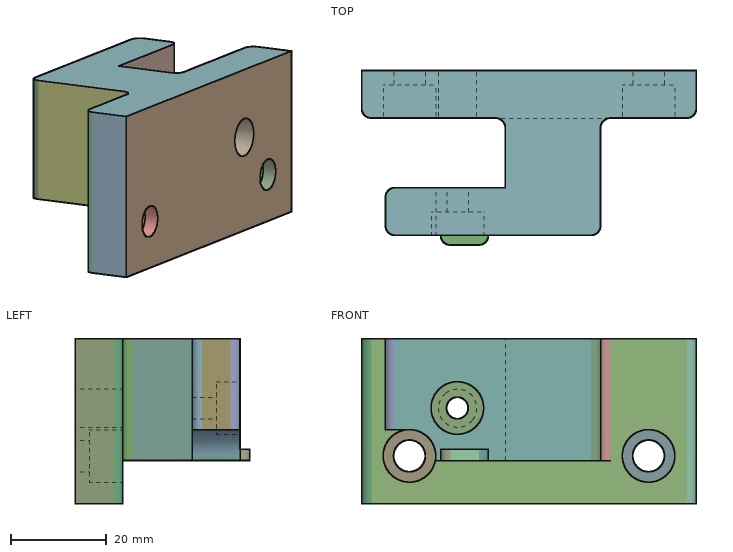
import cadquery as cq

length = 70.0
height = 34.5
wall = 10.0
gap = 14.5
corner_radius = 2.0

stem_left = 30.0
stem_right = 50.0
arm_left = 5.0
arm_bottom = 9.0

tab_left = 16.5
tab_length = 10.0
tab_height = 2.4
tab_depth = corner_radius

mount_inset = 10.0
mount_diameter = 6.6
counterbore_diameter = 11.0
plate_counterbore_depth = 7.0
arm_hole_x = 2 * mount_inset
arm_hole_z = 2 * mount_inset
arm_hole_diameter = 4.5
arm_counterbore_depth = 5.0
plate_clearance_diameter = 8.0

plate_front = -wall
arm_back = plate_front - gap
arm_front = arm_back - wall
tab_front = arm_front - tab_depth


def block(x_min, x_max, y_min, y_max, z_min, z_max):
    """Box between the given limits."""
    size = (x_max - x_min, y_max - y_min, z_max - z_min)
    return cq.Workplane("XY").box(*size, centered=False).translate((x_min, y_min, z_min))


def bore(x, z, diameter, y_front, depth):
    """Cylinder running towards +Y from y_front."""
    plane = cq.Workplane("XZ", origin=(x, y_front, z))
    return plane.circle(diameter / 2).extrude(-depth)


plate = block(0, length, plate_front, 0, 0, height)
plate = plate.edges("|Z and <Y").fillet(corner_radius)

stem = block(stem_left, stem_right, arm_front, plate_front, arm_bottom, height)
stem = stem.edges("|Z and <Y and >X").fillet(corner_radius)
arm = block(arm_left, stem_left, arm_front, arm_back, arm_bottom, height)
arm = arm.edges("|Z and <X").fillet(corner_radius)

tab_back = arm_front + wall / 2
tab = block(tab_left, tab_left + tab_length, tab_front, tab_back, arm_bottom, arm_bottom + tab_height)
tab = tab.edges("|Z and <Y").fillet(corner_radius)

access_radius = counterbore_diameter / 2
access_right = mount_inset + access_radius
arm_access = (
    bore(mount_inset, mount_inset, counterbore_diameter, arm_front, wall)
    .union(block(0, access_right, arm_front, arm_back, 0, mount_inset))
    .union(block(0, mount_inset, arm_front, arm_back, 0, mount_inset + access_radius))
)
arm = arm.cut(arm_access)

body = plate.union(stem).union(arm).union(tab)

root_margin = corner_radius / 2
for x in (stem_left, stem_right):
    root = cq.selectors.BoxSelector(
        (x - root_margin, plate_front - root_margin, 0),
        (x + root_margin, plate_front + root_margin, height),
    )
    body = body.edges("|Z").edges(root).fillet(corner_radius)

for x in (mount_inset, length - mount_inset):
    body = body.cut(bore(x, mount_inset, mount_diameter, plate_front, wall))
    body = body.cut(bore(x, mount_inset, counterbore_diameter, plate_front, plate_counterbore_depth))

body = body.cut(bore(arm_hole_x, arm_hole_z, arm_hole_diameter, arm_front, wall))
body = body.cut(bore(arm_hole_x, arm_hole_z, counterbore_diameter, arm_front, arm_counterbore_depth))
body = body.cut(bore(arm_hole_x, arm_hole_z, plate_clearance_diameter, plate_front, wall))

result = body